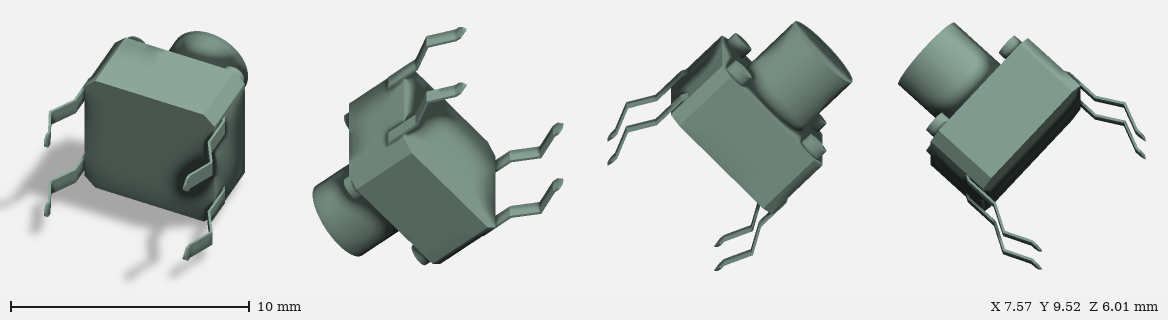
import cadquery as cq
import math


body_side = 6.01
body_depth = 3.0
corner_chamfer = 0.495

button_diameter = 3.5
button_height = 3.0
peg_diameter = 1.0
peg_height = 0.495
peg_offset = 2.24

overall_depth = 9.52
overall_width = 7.57
leg_thickness = 0.1
leg_width = 0.7
leg_offset_z = 1.95
shank_x = 3.15
shank_half_length = 0.74
root_embed = 0.095
root_angle = 30.0
elbow_x = overall_width / 2
elbow_y = -1.85
foot_x = 3.28
foot_y = -3.0

tip_y = body_depth + button_height - overall_depth
tip_length = 0.3
tip_width = 0.095
bevel_length = 0.11
bevel_depth = 0.08


def cylinders_on_housing(diameter, height, points):
    """Cylinders standing on the button side of the housing."""
    return (
        cq.Workplane("XZ", origin=(0, body_depth, 0))
        .pushPoints(points)
        .circle(diameter / 2)
        .extrude(-height)
    )


def inner_points(outer):
    """Offset an open (x, y) path, running towards -Y, to its -X side with mitred bends."""
    normals = []
    for (x0, y0), (x1, y1) in zip(outer, outer[1:]):
        length = math.hypot(x1 - x0, y1 - y0)
        normals.append(((y1 - y0) / length, (x0 - x1) / length))
    before = normals[:1] + normals
    after = normals + normals[-1:]
    shifted = []
    for (x, y), (ax, ay), (bx, by) in zip(outer, before, after):
        mitre = leg_thickness / (1 + ax * bx + ay * by)
        shifted.append((x + mitre * (ax + bx), y + mitre * (ay + by)))
    return shifted


def make_leg():
    """One bent strip leg on the +X side, centred on Z = 0."""
    root_x = body_side / 2 - root_embed
    root_y = shank_half_length + (shank_x - root_x) / math.tan(math.radians(root_angle))
    outer = [
        (root_x, root_y),
        (shank_x, shank_half_length),
        (shank_x, -shank_half_length),
        (elbow_x, elbow_y),
        (foot_x, foot_y),
        (foot_x, tip_y),
    ]
    inner = inner_points(outer)
    bevelled_end = [(foot_x, tip_y + bevel_length), (foot_x - bevel_depth, tip_y)]
    strip = (
        cq.Workplane("XY")
        .polyline(outer[:-1] + bevelled_end + inner[::-1])
        .close()
        .extrude(leg_width / 2, both=True)
    )

    pointed_outline = (
        cq.Workplane("YZ")
        .polyline([
            (root_y, leg_width / 2),
            (tip_y + tip_length, leg_width / 2),
            (tip_y, tip_width / 2),
            (tip_y, -tip_width / 2),
            (tip_y + tip_length, -leg_width / 2),
            (root_y, -leg_width / 2),
        ])
        .close()
        .extrude(overall_width)
    )
    return strip.intersect(pointed_outline)


housing = (
    cq.Workplane("XY")
    .box(body_side, body_depth, body_side)
    .translate((0, body_depth / 2, 0))
    .edges("|Y")
    .chamfer(corner_chamfer)
)
button = cylinders_on_housing(button_diameter, button_height, [(0, 0)])
peg_points = [(x, z) for x in (-peg_offset, peg_offset) for z in (-peg_offset, peg_offset)]
pegs = cylinders_on_housing(peg_diameter, peg_height, peg_points)

result = housing.union(button).union(pegs)
right_leg = make_leg()
left_leg = right_leg.mirror("YZ")
for leg in (left_leg, right_leg):
    for z in (-leg_offset_z, leg_offset_z):
        result = result.union(leg.translate((0, 0, z)))